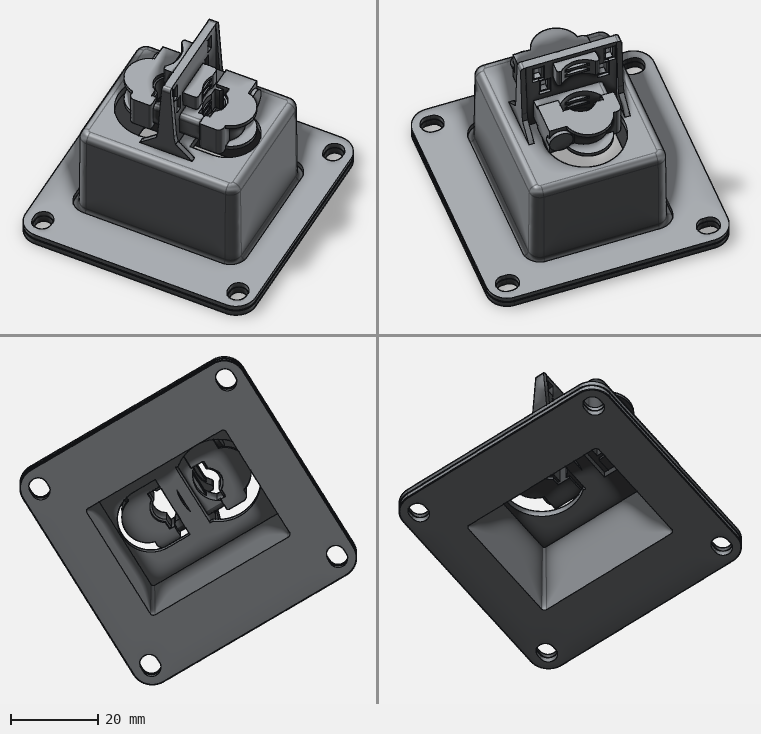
import cadquery as cq

PLATE_SIDE = 59.0
PLATE_CORNER = 5.0
FLANGE_THICK = 1.75
PLATE_THICK = 3.2
FLANGE_CHAMFER = 0.2
SLOT_X = 25.0
SLOT_Y = 24.55
FLANGE_SLOT_SIZE = (5.35, 4.3)
PLATE_SLOT_SIZE = (5.55, 4.65)

BOX_X = 41.3
BOX_Y = 33.6
BOX_TOP = 26.6
BOX_CORNER = 2.85
BOX_DRAFT = 0.6
BOX_EDGE = 2.0
WALL = 2.0
FOOT_FILLET = 1.35
FOOT_GAP = 0.05

GRIP_Y = -0.75
LARGE_HOLE_X = -7.6
LARGE_HOLE_R = 9.8
SMALL_HOLE_X = 10.5
SMALL_HOLE_R = 7.65
LARGE_HOLE_END = 0.9
SMALL_HOLE_END = 4.65

PANEL_X = 0.5
WEB_TOP_HALF = 1.0
WEB_BOTTOM_HALF = 1.25
PANEL_TOP = 47.5
PANEL_Y = 24.8
PANEL_CORNER = 0.95
RIB_WIDTH = 1.3
RIB_TOP_HALF = 1.05
RIB_WAIST_HALF = 2.05
RIB_KNEE_HALF = 2.5
RIB_WAIST_Z = 32.3
RIB_KNEE_Z = 30.25
RIB_FOOT_HALF = 6.7

WINDOW_WIDTH = 1.75
WINDOW_HEIGHT = 4.0
RECESS_WIDTH = 2.85
RECESS_HEIGHT = 4.7
RECESS_DEPTH = 0.6
UPPER_WINDOW = (8.75, 43.85)
LOWER_WINDOW = (7.15, 38.9)

CABLE_R = 6.0
LEFT_CABLE_X = -7.7
RIGHT_CABLE_X = 10.7
PAD_WIDTH = 10.4
PAD_LEFT = -3.4
PAD_RIGHT = 5.3
PAD_CORNER = 0.6
UPPER_PAD_Z = (41.35, 46.35)
LOWER_PAD_Z = (36.8, 40.8)
GRIP_RIB = 0.7
GRIP_RIB_OFFSET = 0.95
LEFT_RIB_X = -2.55
RIGHT_RIB_X = 5.15

BLOCK_X = (-5.1, 6.95)
BLOCK_Y = (-7.85, 9.2)
BLOCK_Z = (28.8, 34.85)
BLOCK_EDGE = 1.1
NOTCH_HALF = 4.2

CLAMP_X = sum(BLOCK_X) / 2
CLAMP_Z = (27.9, 35.8)
CLAMP_FLANGE = 1.0
CLAMP_BACK = BLOCK_Y[1]
CLAMP_FRONT = -8.75
BACK_ARM_INNER_Y = 4.1
FRONT_ARM_INNER_Y = -5.65
FRONT_ARM_CORNER = 1.4
FRONT_ARM_TIP_CORNER = 0.5
OUTER_RING = (10.4, 5.95)
BODY_RING = (7.65, 5.8)
SHOULDER = 12.05
FRONT_ARM_OUTER = 11.9
FRONT_ARM_TIP = 6.2
BACK_ARM_TIP = 4.2
FLANGE_BORE = (5.6, 3.6)
BODY_BORE = (5.6, 3.05)
FLANGE_SLOT = 7.5
BODY_SLOT = 7.0

PIN_R = 2.9
PIN_Y = 6.6
PIN_LENGTH = 2.0
PIN_SPAN = 25.95


def box_between(x_range, y_range, z_range):
    corner = (x_range[0], y_range[0], z_range[0])
    size = (x_range[1] - x_range[0], y_range[1] - y_range[0], z_range[1] - z_range[0])
    return cq.Workplane("XY").box(*size, centered=False).translate(corner)


def cylinder(x, y, radius, z_range):
    return cq.Workplane("XY", origin=(x, y, z_range[0])).circle(radius).extrude(z_range[1] - z_range[0])


def rounded_block(x_size, y_size, corner, z_range, draft=0.0):
    outline = cq.Sketch().rect(x_size, y_size).vertices().fillet(corner)
    base = cq.Workplane("XY", origin=(0, 0, z_range[0]))
    return base.placeSketch(outline).extrude(z_range[1] - z_range[0], taper=draft)


def mounting_slots(size, z_range):
    return (
        cq.Workplane("XY", origin=(0, 0, z_range[0]))
        .rect(2 * SLOT_X, 2 * SLOT_Y, forConstruction=True)
        .vertices()
        .slot2D(*size, 90)
        .extrude(z_range[1] - z_range[0])
    )


def make_box_and_flange():
    """Drafted hollow box whose foot blends into the lower plate layer."""
    flange_z = (0, FLANGE_THICK)
    flange = rounded_block(PLATE_SIDE, PLATE_SIDE, PLATE_CORNER, flange_z)
    flange = flange.faces("<Z or >Z").edges().chamfer(FLANGE_CHAMFER)
    box = rounded_block(BOX_X, BOX_Y, BOX_CORNER, (FLANGE_THICK, BOX_TOP), BOX_DRAFT)
    box = box.faces(">Z").edges().fillet(BOX_EDGE)
    foot = cq.selectors.BoxSelector(
        (-BOX_X / 2 - 0.6, -BOX_Y / 2 - 0.6, FLANGE_THICK - 0.05),
        (BOX_X / 2 + 0.6, BOX_Y / 2 + 0.6, FLANGE_THICK + 0.05),
    )
    shell = flange.union(box).edges(foot).fillet(FOOT_FILLET)
    cavity = rounded_block(
        BOX_X - 2 * WALL, BOX_Y - 2 * WALL, BOX_CORNER - WALL, (0, BOX_TOP - WALL), BOX_DRAFT
    )
    return shell.cut(cavity).cut(mounting_slots(FLANGE_SLOT_SIZE, flange_z))


def make_frame():
    """Upper plate layer, open around the foot of the box."""
    frame_z = (FLANGE_THICK, PLATE_THICK)
    margin = 2 * FOOT_FILLET + 2 * FOOT_GAP
    frame = rounded_block(PLATE_SIDE, PLATE_SIDE, PLATE_CORNER, frame_z)
    window = rounded_block(BOX_X + margin, BOX_Y + margin, BOX_CORNER + margin / 2, frame_z)
    return frame.cut(window).cut(mounting_slots(PLATE_SLOT_SIZE, frame_z))


def make_openings():
    top_z = (BOX_TOP - WALL, BOX_TOP)
    slot_y = (GRIP_Y - SMALL_HOLE_R, GRIP_Y + SMALL_HOLE_R)
    large = cylinder(LARGE_HOLE_X, GRIP_Y, LARGE_HOLE_R, top_z)
    large = large.union(box_between((LARGE_HOLE_X, LARGE_HOLE_END), slot_y, top_z))
    small = cylinder(SMALL_HOLE_X, GRIP_Y, SMALL_HOLE_R, top_z)
    small = small.union(box_between((SMALL_HOLE_END, SMALL_HOLE_X), slot_y, top_z))
    small = small.intersect(box_between((SMALL_HOLE_END, BOX_X), slot_y, top_z))
    return large.union(small)


def panel_slice(half_profile, y_back, width):
    """Extrude a profile of (half thickness, height) points, mirrored about the panel plane."""
    right = [(PANEL_X + half, z) for half, z in half_profile]
    left = [(PANEL_X - half, z) for half, z in reversed(half_profile)]
    return cq.Workplane("XZ", origin=(0, y_back, 0)).polyline(right + left).close().extrude(width)


def make_panel():
    web_profile = [(WEB_BOTTOM_HALF, BOX_TOP - WALL), (WEB_TOP_HALF, PANEL_TOP)]
    rib_profile = [
        (RIB_FOOT_HALF, BOX_TOP),
        (RIB_KNEE_HALF, RIB_KNEE_Z),
        (RIB_WAIST_HALF, RIB_WAIST_Z),
        (RIB_TOP_HALF, PANEL_TOP),
    ]
    panel = panel_slice(web_profile, PANEL_Y / 2, PANEL_Y)
    for y_back in (PANEL_Y / 2, -PANEL_Y / 2 + RIB_WIDTH):
        panel = panel.union(panel_slice(rib_profile, y_back, RIB_WIDTH))
    outline = (
        cq.Workplane("YZ", origin=(-BOX_X / 2, 0, 0))
        .rect(PANEL_Y, 2 * PANEL_TOP)
        .extrude(BOX_X)
        .edges("|X and >Z")
        .fillet(PANEL_CORNER)
    )
    return panel.intersect(outline)


def make_windows():
    """Four windows, each with a shallow recess around it on the -X face."""
    face_x = PANEL_X - WEB_TOP_HALF
    windows = cq.Workplane("XY")
    for offset, z in (UPPER_WINDOW, LOWER_WINDOW):
        for side in (-1, 1):
            y = GRIP_Y + side * offset
            through = cq.Workplane("XY").box(BOX_X, WINDOW_WIDTH, WINDOW_HEIGHT)
            recess = cq.Workplane("XY").box(2 * RECESS_DEPTH, RECESS_WIDTH, RECESS_HEIGHT)
            windows = windows.add(through.translate((0, y, z))).add(recess.translate((face_x, y, z)))
    return windows.combine()


def carve_cable_groove(grip, cable_x, rib_range, z_range):
    """Cut a round vertical groove and leave two flat-faced ribs across it."""
    groove = cylinder(cable_x, GRIP_Y, CABLE_R, z_range)
    middle = sum(z_range) / 2
    for offset in (-GRIP_RIB_OFFSET, GRIP_RIB_OFFSET):
        rib_z = (middle + offset - GRIP_RIB / 2, middle + offset + GRIP_RIB / 2)
        groove = groove.cut(box_between(rib_range, (GRIP_Y - CABLE_R, GRIP_Y + CABLE_R), rib_z))
    return grip.cut(groove)


def make_pads():
    pad_y = (GRIP_Y - PAD_WIDTH / 2, GRIP_Y + PAD_WIDTH / 2)
    left = box_between((PAD_LEFT, PANEL_X), pad_y, UPPER_PAD_Z).edges("|Z and <X").fillet(PAD_CORNER)
    left = carve_cable_groove(left, LEFT_CABLE_X, (LEFT_RIB_X, PANEL_X), UPPER_PAD_Z)
    right = box_between((PANEL_X, PAD_RIGHT), pad_y, LOWER_PAD_Z).edges("|Z and >X").fillet(PAD_CORNER)
    right = carve_cable_groove(right, RIGHT_CABLE_X, (PANEL_X, RIGHT_RIB_X), LOWER_PAD_Z)
    return left.union(right)


def make_grip_block():
    block = box_between(BLOCK_X, BLOCK_Y, BLOCK_Z)
    block = block.faces("<Y").edges("|X").fillet(BLOCK_EDGE)
    block = carve_cable_groove(block, LEFT_CABLE_X, (LEFT_RIB_X, PANEL_X), BLOCK_Z)
    notch = box_between((RIGHT_RIB_X, BLOCK_X[1]), (GRIP_Y - NOTCH_HALF, GRIP_Y + NOTCH_HALF), BLOCK_Z)
    return carve_cable_groove(block.cut(notch), RIGHT_CABLE_X, (PANEL_X, RIGHT_RIB_X), BLOCK_Z)


def clamp_layer(ring, bore, slot_reach, z_range):
    """C-shaped layer of the right clamp, laid out from x = 0 outward."""
    front_y = (CLAMP_FRONT, GRIP_Y)
    front_arm = box_between((FRONT_ARM_TIP, FRONT_ARM_OUTER), front_y, z_range)
    front_arm = front_arm.edges("|Z and >X and <Y").fillet(FRONT_ARM_CORNER)
    front_arm = front_arm.edges("|Z and <X and <Y").fillet(FRONT_ARM_TIP_CORNER)
    back_arm = box_between((BACK_ARM_TIP, SHOULDER), (GRIP_Y, CLAMP_BACK), z_range)
    slot = box_between((0, slot_reach), (FRONT_ARM_INNER_Y, BACK_ARM_INNER_Y), z_range)
    layer = cylinder(ring[0], GRIP_Y, ring[1], z_range).union(front_arm).union(back_arm)
    return layer.cut(slot).cut(cylinder(bore[0], GRIP_Y, bore[1], z_range))


def make_clamps():
    bottom, top = CLAMP_Z
    body_z = (bottom + CLAMP_FLANGE, top - CLAMP_FLANGE)
    clamp = clamp_layer(BODY_RING, BODY_BORE, BODY_SLOT, body_z)
    for flange_z in ((bottom, body_z[0]), (body_z[1], top)):
        clamp = clamp.union(clamp_layer(OUTER_RING, FLANGE_BORE, FLANGE_SLOT, flange_z))
    pair = clamp.union(clamp.mirror("YZ"))
    return pair.translate((CLAMP_X, 0, 0))


def make_pins():
    z = sum(CLAMP_Z) / 2
    right = cq.Workplane("YZ", origin=(PIN_SPAN / 2 - PIN_LENGTH, PIN_Y, z)).circle(PIN_R).extrude(PIN_LENGTH)
    return right.union(right.mirror("YZ")).translate((CLAMP_X, 0, 0))


housing = make_box_and_flange().union(make_frame()).cut(make_openings())
panel = make_panel().cut(make_windows())
result = housing.union(panel)
for fitting in (make_pads(), make_grip_block(), make_clamps(), make_pins()):
    result = result.union(fitting)